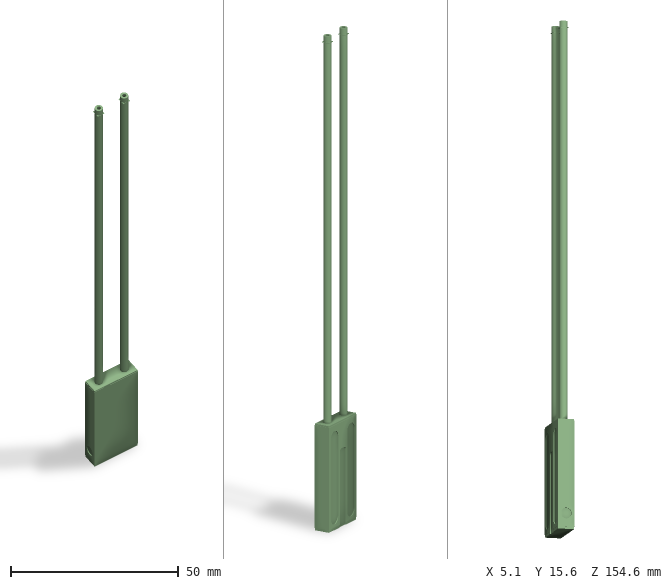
import cadquery as cq

overall_height = 154.6
housing_thickness = 5.1
housing_width = 15.6
housing_height = 33.4

rim_inset = 0.08
top_rim_height = 0.5
bottom_rim_height = 0.8

lead_spacing = 9.1
lead_diameter = 2.5
lead_embedded_depth = 3.1
collar_thickness = 0.2
collar_drop = 2.0
tip_bore_diameter = 1.2
tip_bore_depth = collar_drop

recess_depth = 0.3
slot_width = 4.2
slot_length = 29.2
slot_spacing = 9.3
slot_bottom = 1.9
channel_width = 3.2
channel_top = 24.6
channel_corner_radius = 0.8

dimple_diameter = 3.2
dimple_height = 4.8

left_face = -housing_thickness / 2
front_face = -housing_width / 2
lead_base = housing_height - lead_embedded_depth
lead_centers = [(0, -lead_spacing / 2), (0, lead_spacing / 2)]


def make_block(inset, bottom, height):
    """Upright block, set in from the housing sides, starting at a given height."""
    return cq.Workplane("XY", origin=(0, 0, bottom)).box(
        housing_thickness - 2 * inset,
        housing_width - 2 * inset,
        height,
        centered=(True, True, False),
    )


def make_housing_body():
    """Main block between slightly smaller rims at the bottom and the top."""
    main_height = housing_height - bottom_rim_height - top_rim_height
    core = make_block(rim_inset, 0, housing_height)
    main = make_block(0, bottom_rim_height, main_height)
    return core.union(main)


def make_slots():
    """Two upright round-ended slots, cut in from the -X face."""
    middle = slot_bottom + slot_length / 2
    return (
        cq.Workplane("YZ", origin=(left_face, 0, 0))
        .pushPoints([(-slot_spacing / 2, middle), (slot_spacing / 2, middle)])
        .slot2D(slot_length, slot_width, 90)
        .extrude(recess_depth)
    )


def make_channel():
    """Central channel in the -X face with rounded upper corners."""
    return (
        cq.Workplane("XY", origin=(left_face, 0, 0))
        .box(recess_depth, channel_width, channel_top, centered=(False, True, False))
        .edges("|X and >Z")
        .fillet(channel_corner_radius)
    )


def make_dimple():
    """Shallow round recess near the bottom of the -Y face."""
    return (
        cq.Workplane("XZ", origin=(0, front_face, 0))
        .center(0, dimple_height)
        .circle(dimple_diameter / 2)
        .extrude(-recess_depth)
    )


def make_lead_holes():
    """Blind holes in the top that hold the lead ends."""
    return (
        cq.Workplane("XY", origin=(0, 0, lead_base))
        .pushPoints(lead_centers)
        .circle(lead_diameter / 2)
        .extrude(lead_embedded_depth)
    )


def make_housing():
    """Housing with all its recesses."""
    body = make_housing_body()
    for recess in (make_slots(), make_channel(), make_dimple(), make_lead_holes()):
        body = body.cut(recess)
    return body


def make_lead(center):
    """One lead standing in its hole in the housing."""
    rod = (
        cq.Workplane("XY", origin=(0, 0, lead_base))
        .circle(lead_diameter / 2)
        .extrude(overall_height - lead_base)
    )
    collar = cq.Workplane("XY", origin=(0, 0, overall_height - collar_drop)).box(
        lead_diameter, lead_diameter, collar_thickness
    )
    tip_bore = (
        cq.Workplane("XY", origin=(0, 0, overall_height))
        .circle(tip_bore_diameter / 2)
        .extrude(-tip_bore_depth)
    )
    return rod.union(collar).cut(tip_bore).translate((*center, 0))


housing = make_housing()
leads = [make_lead(center) for center in lead_centers]
result = cq.Compound.makeCompound([housing.solids().val(), *[lead.solids().val() for lead in leads]])